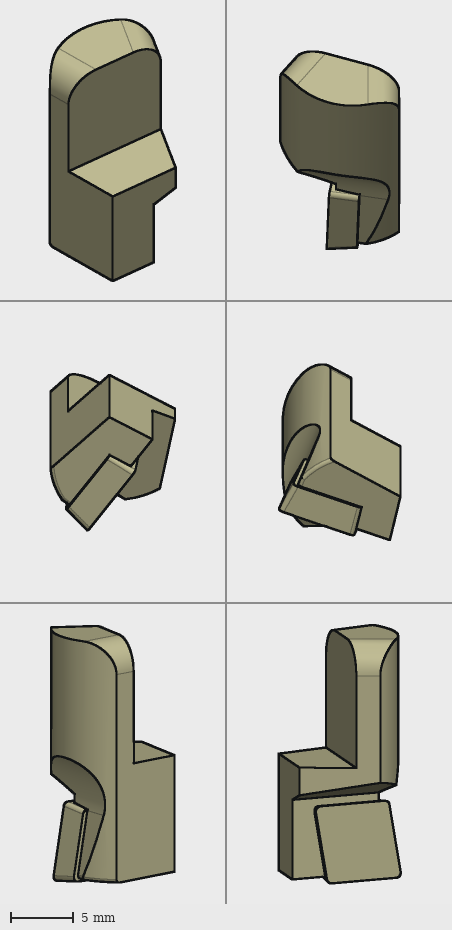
import cadquery as cq
import math

front_radius = 6.0
wedge_half_angle = 18.0
back_x = 2.82
back_half_width = 3.0
block_height = 9.5
shank_back_x = -1.5
holder_height = 19.5
top_fillet = 2.5
bottom_fillet = 0.3

rake_tilt = 8.0
reach = 20.0
underside_z = -1.0

gullet_radius = 4.9
gullet_floor_u = -4.63
gullet_center_z = 6.33
gullet_flat_tilt = 10.0

seat_face_v = 0.525
clearance_height = 6.48
clearance_slope = 20.5

insert_corner_angle = 80.0
insert_inscribed_diameter = 6.35
insert_thickness = 2.38
insert_flank_angle = 7.0
insert_nose_radius = 0.4
insert_tip_z = -0.5
insert_tip_u = -6.357
rake_face_v = 0.97


def turn(shape):
    """Turn a shape built with u along X and v along Y into the cutting frame."""
    return shape.rotate((0, 0, 0), (0, 0, 1), rake_tilt)


def make_blank():
    """Wedge with a round front, its top edges rounded, and the step behind the shank."""
    slope = math.tan(math.radians(wedge_half_angle))
    axis_half_width = back_half_width + slope * back_x
    a = 1 + slope**2
    b = -2 * slope * axis_half_width
    c = axis_half_width**2 - front_radius**2
    corner_x = (-b - math.sqrt(b**2 - 4 * a * c)) / (2 * a)
    corner_y = axis_half_width - slope * corner_x
    blank = (
        cq.Workplane("XY")
        .moveTo(back_x, -back_half_width)
        .lineTo(back_x, back_half_width)
        .lineTo(corner_x, corner_y)
        .threePointArc((-front_radius, 0), (corner_x, -corner_y))
        .close()
        .extrude(holder_height)
    )
    blank = blank.faces(">Z").edges(">Y or <Y").fillet(top_fillet)
    step = cq.Workplane("XY").box(reach, reach, reach, centered=(False, True, False))
    return blank.cut(step.translate((shank_back_x, 0, block_height)))


def make_gullet():
    """Round groove and the flat that leaves it tangentially, leaning forward as it goes down."""
    tilt = math.radians(gullet_flat_tilt)
    center_u = gullet_floor_u - gullet_radius
    mid_offset = gullet_radius * math.sqrt(0.5)
    tangent_u = center_u + gullet_radius * math.cos(tilt)
    tangent_z = gullet_center_z - gullet_radius * math.sin(tilt)
    bottom_u = tangent_u - (tangent_z - underside_z) * math.tan(tilt)
    groove = (
        cq.Workplane("XZ")
        .moveTo(center_u, gullet_center_z + gullet_radius)
        .threePointArc(
            (center_u + mid_offset, gullet_center_z + mid_offset),
            (tangent_u, tangent_z),
        )
        .lineTo(bottom_u, underside_z)
        .lineTo(center_u, underside_z)
        .close()
        .extrude(reach, both=True)
    )
    return turn(groove)


def make_clearance():
    """Space in front of the seat face, closed above by a sloping roof."""
    far_v = seat_face_v + reach
    far_z = clearance_height + reach * math.tan(math.radians(clearance_slope))
    clearance = (
        cq.Workplane("YZ")
        .moveTo(seat_face_v, underside_z)
        .lineTo(far_v, underside_z)
        .lineTo(far_v, far_z)
        .lineTo(seat_face_v, clearance_height)
        .close()
        .extrude(reach, both=True)
    )
    return turn(clearance)


def make_insert():
    """Rhombic insert with its acute nose at the lower front and its rake face toward +Y."""
    corner = math.radians(insert_corner_angle)
    side = insert_inscribed_diameter / math.sin(corner)
    lean_u = side * math.cos(corner)
    nose_center_u = insert_tip_u + insert_nose_radius
    corner_u = nose_center_u - insert_nose_radius / math.tan(corner / 2)
    plate = (
        cq.Workplane("XZ", origin=(0, rake_face_v, 0))
        .moveTo(corner_u, insert_tip_z)
        .line(side, 0)
        .line(lean_u, insert_inscribed_diameter)
        .line(-side, 0)
        .close()
        .extrude(insert_thickness, taper=insert_flank_angle)
        .edges("not #Y")
        .fillet(insert_nose_radius)
    )
    return turn(plate)


def make_holder(insert):
    """Blank with its gullet, rounded front bottom edge, clearance and insert seat."""
    holder = make_blank().cut(make_gullet())
    holder = holder.faces("<Z").edges("<X or %CIRCLE").fillet(bottom_fillet)
    return holder.cut(make_clearance()).cut(insert)


insert = make_insert()
holder = make_holder(insert)
result = cq.Compound.makeCompound([*holder.solids().vals(), insert.val()])